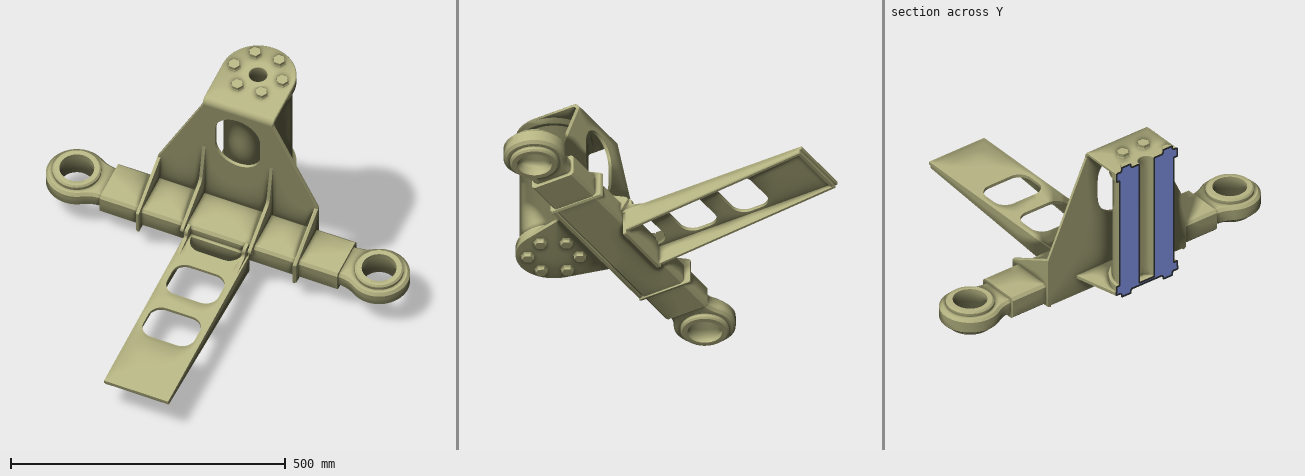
import cadquery as cq
import math


PLATE = 6.35
EDGE_CHAMFER = 1.59

TUBE_LENGTH = 469.9
TUBE_DEPTH = 88.9
TUBE_HEIGHT = 44.45
TUBE_CORNER_CHAMFER = 5.16
OVERALL_WIDTH = 711.66
EYE_DIAMETER = 113.07
EYE_HEIGHT = 31.75
EYE_EDGE_CHAMFER = 5.16
EYE_X = (OVERALL_WIDTH - EYE_DIAMETER) / 2
EYE_BORE = 63.5
BUSHING_DIAMETER = 88.9
BUSHING_HEIGHT = 50.8
BUSHING_EDGE_CHAMFER = 3.17
NECK_WIDTH = 76.2
NECK_SOCKET = 10.0
TUBE_FRONT_Y = -TUBE_DEPTH / 2
TUBE_BACK_Y = TUBE_DEPTH / 2

DRUM_Y = 139.7
DRUM_DIAMETER = 125.77
FLANGE_DIAMETER = 139.74
FLANGE_THICKNESS = 12.7
LOWER_PLATE_Z = 12.7
UPPER_PLATE_TOP_Z = 279.4
LOWER_PLATE_ROOT_WIDTH = 187.3
PIN_BORE = 33.5
PIN_BORE_EDGE_RADIUS = 1.59

BOLT_COUNT = 6
BOLT_CIRCLE_DIAMETER = 95.25
BOLT_FLATS = 19.05
BOLT_HEAD_HEIGHT = 8.57
BOLT_FOOT_FLARE = 1.9
BOLT_FOOT_HEIGHT = 2.8

BACK_WIDTH = 317.5
BACK_BOTTOM_Z = -TUBE_HEIGHT / 2
BACK_SHOULDER_Z = 76.2
BEND_RADIUS = 12.7
WINDOW_WIDTH = 88.9
WINDOW_HEIGHT = 127.0
WINDOW_CENTRE_Z = 188.1

GUSSET_FRONT_Y = -57.15
GUSSET_FRONT_Z = 25.4
GUSSET_CORNER_RADIUS = 3.17
OUTER_GUSSET_BOTTOM_Z = -25.4
OUTER_GUSSET_BEVEL_DEPTH = 4.4
GUSSET_SLOPE = (BACK_SHOULDER_Z - GUSSET_FRONT_Z) / (TUBE_BACK_Y - GUSSET_FRONT_Y)
INNER_GUSSET_X = 63.5
INNER_GUSSET_TOP_Z = 149.2
INNER_GUSSET_KNEE_Y = 28.6
INNER_GUSSET_KNEE_RADIUS = 19.05
INNER_GUSSET_NOSE_Y = -62.5
INNER_GUSSET_NOSE_RADIUS = 6.35
OUTER_GUSSET_X = BACK_WIDTH / 2 - PLATE

ARM_WIDTH = 127.0
ARM_TIP_Y = -425.47
ARM_TOP_Z = PLATE / 2
ARM_BOTTOM_Z = -PLATE / 2
ARM_SIDE_ROOT_Z = -42.0
ARM_SIDE_TIP_Z = -10.0
ARM_SIDE_TIP_SETBACK = 4.0
ROOT_PLATE_BOTTOM_Z = -48.4
ROOT_PLATE_WIDTH = 123.8
ROOT_PLATE_CORNER_RADIUS = 3.17
WINDOWS_IN_ARM = 3
ARM_WINDOW_WIDTH = 101.6
ARM_WINDOW_LENGTH = 73.0
ARM_WINDOW_RADIUS = 25.4
ARM_WINDOW_FIRST_Y = -41.3
ARM_WINDOW_PITCH = 109.5

ARM_GUSSET_X = 53.98
ARM_GUSSET_TOP_Z = 28.6
ARM_GUSSET_NOSE_Y = -61.9
ARM_GUSSET_NOSE_Z = 12.7
ARM_GUSSET_NOSE_RADIUS = 9.5
ARM_GUSSET_FOOT_RADIUS = 6.35
ARM_GUSSET_END_Y = -97.6


def box_between(x_min, x_max, y_min, y_max, z_min, z_max):
    """Box given by its limits on each axis."""
    size = (x_max - x_min, y_max - y_min, z_max - z_min)
    return cq.Workplane("XY").box(*size, centered=False).translate((x_min, y_min, z_min))


def disc(x, y, z, diameter, height):
    """Upright cylinder standing on height z."""
    return cq.Workplane("XY").workplane(offset=z).center(x, y).circle(diameter / 2).extrude(height)


def cross_tube():
    tube = cq.Workplane("XY").box(TUBE_LENGTH, TUBE_DEPTH, TUBE_HEIGHT)
    return tube.edges("|X").chamfer(TUBE_CORNER_CHAMFER)


def end_eye():
    """Eye at the +X end: hub, blended neck and a taller bushing."""
    hub_radius = EYE_DIAMETER / 2
    neck_half = NECK_WIDTH / 2
    blend_x = TUBE_LENGTH / 2
    blend_dx = EYE_X - blend_x
    blend_radius = (blend_dx ** 2 + neck_half ** 2 - hub_radius ** 2) / (2 * (hub_radius - neck_half))
    blend_y = neck_half + blend_radius
    centre_distance = hub_radius + blend_radius
    meet_x = EYE_X - blend_dx * hub_radius / centre_distance
    meet_y = blend_y * hub_radius / centre_distance
    mid_angle = (-math.pi / 2 + math.atan2(-blend_y, blend_dx)) / 2
    mid_x = blend_x + blend_radius * math.cos(mid_angle)
    mid_y = blend_y + blend_radius * math.sin(mid_angle)
    neck_start = blend_x - NECK_SOCKET

    body = (
        cq.Workplane("XY")
        .moveTo(neck_start, -neck_half)
        .lineTo(blend_x, -neck_half)
        .threePointArc((mid_x, -mid_y), (meet_x, -meet_y))
        .threePointArc((EYE_X + hub_radius, 0), (meet_x, meet_y))
        .threePointArc((mid_x, mid_y), (blend_x, neck_half))
        .lineTo(neck_start, neck_half)
        .close()
        .extrude(EYE_HEIGHT / 2, both=True)
        .faces("|Z").edges("not <X").chamfer(EYE_EDGE_CHAMFER)
    )
    bushing = disc(EYE_X, 0, -BUSHING_HEIGHT / 2, BUSHING_DIAMETER, BUSHING_HEIGHT)
    bushing = bushing.edges("%CIRCLE").chamfer(BUSHING_EDGE_CHAMFER)
    bore = disc(EYE_X, 0, -BUSHING_HEIGHT / 2, EYE_BORE, BUSHING_HEIGHT)
    return body.union(bushing).cut(bore)


def back_plate():
    """Tapered plate behind the tube, bent over into the rounded upper plate."""
    back_y = TUBE_BACK_Y + PLATE
    top_half = FLANGE_DIAMETER / 2
    bend_z = UPPER_PLATE_TOP_Z - BEND_RADIUS
    bend_y = TUBE_BACK_Y + BEND_RADIUS
    inner_top_z = UPPER_PLATE_TOP_Z - PLATE
    sheet = (
        cq.Workplane("YZ")
        .moveTo(TUBE_BACK_Y, BACK_BOTTOM_Z)
        .lineTo(TUBE_BACK_Y, bend_z)
        .radiusArc((bend_y, UPPER_PLATE_TOP_Z), BEND_RADIUS)
        .lineTo(DRUM_Y + top_half, UPPER_PLATE_TOP_Z)
        .lineTo(DRUM_Y + top_half, inner_top_z)
        .lineTo(bend_y, inner_top_z)
        .radiusArc((back_y, bend_z), -(BEND_RADIUS - PLATE))
        .lineTo(back_y, BACK_BOTTOM_Z)
        .close()
        .extrude(BACK_WIDTH / 2, both=True)
    )
    front_outline = (
        cq.Workplane("XZ")
        .moveTo(-BACK_WIDTH / 2, BACK_BOTTOM_Z)
        .lineTo(-BACK_WIDTH / 2, BACK_SHOULDER_Z)
        .lineTo(-top_half, bend_z)
        .lineTo(-top_half, UPPER_PLATE_TOP_Z)
        .lineTo(top_half, UPPER_PLATE_TOP_Z)
        .lineTo(top_half, bend_z)
        .lineTo(BACK_WIDTH / 2, BACK_SHOULDER_Z)
        .lineTo(BACK_WIDTH / 2, BACK_BOTTOM_Z)
        .close()
        .extrude(-(DRUM_Y + top_half))
    )
    top_outline = box_between(
        -BACK_WIDTH / 2, BACK_WIDTH / 2, TUBE_BACK_Y, DRUM_Y, BACK_BOTTOM_Z, UPPER_PLATE_TOP_Z
    ).union(disc(0, DRUM_Y, inner_top_z, FLANGE_DIAMETER, PLATE))
    window = (
        cq.Workplane("XZ")
        .center(0, WINDOW_CENTRE_Z)
        .slot2D(WINDOW_HEIGHT, WINDOW_WIDTH, 90)
        .extrude(-(TUBE_BACK_Y + PLATE))
    )
    plate = sheet.intersect(front_outline).intersect(top_outline)
    bend_point = (0, TUBE_BACK_Y, UPPER_PLATE_TOP_Z)
    bend_face = plate.faces(cq.NearestToPointSelector(bend_point))
    outer_edges = plate.faces("<Y or >Z").edges("not |X").add(bend_face.edges("%CIRCLE"))
    return outer_edges.chamfer(EDGE_CHAMFER).cut(window)


def lower_plate():
    """Plate under the drum, its sides tangent to the flange circle."""
    radius = FLANGE_DIAMETER / 2
    root_half = LOWER_PLATE_ROOT_WIDTH / 2
    root_y = TUBE_BACK_Y + PLATE
    reach = DRUM_Y - root_y
    corner_angle = math.atan2(-reach, root_half)
    tangent_angle = corner_angle + math.acos(radius / math.hypot(root_half, reach))
    touch_x = radius * math.cos(tangent_angle)
    touch_y = DRUM_Y + radius * math.sin(tangent_angle)
    return (
        cq.Workplane("XY").workplane(offset=LOWER_PLATE_Z)
        .moveTo(-root_half, root_y)
        .lineTo(root_half, root_y)
        .lineTo(touch_x, touch_y)
        .threePointArc((0, DRUM_Y + radius), (-touch_x, touch_y))
        .close()
        .extrude(PLATE)
    )


def drum():
    bottom_z = LOWER_PLATE_Z + PLATE
    top_z = UPPER_PLATE_TOP_Z - PLATE
    barrel = disc(0, DRUM_Y, bottom_z, DRUM_DIAMETER, top_z - bottom_z)
    for flange_z in (bottom_z, top_z - FLANGE_THICKNESS):
        barrel = barrel.union(disc(0, DRUM_Y, flange_z, FLANGE_DIAMETER, FLANGE_THICKNESS))
    return barrel


def pin_bore():
    """Blind bore down to the lower plate, flared by a rounded mouth."""
    floor_z = LOWER_PLATE_Z + PLATE
    radius = PIN_BORE / 2
    mouth = radius + PIN_BORE_EDGE_RADIUS
    return (
        cq.Workplane("XZ")
        .moveTo(0, floor_z)
        .lineTo(radius, floor_z)
        .lineTo(radius, UPPER_PLATE_TOP_Z - PIN_BORE_EDGE_RADIUS)
        .radiusArc((mouth, UPPER_PLATE_TOP_Z), PIN_BORE_EDGE_RADIUS)
        .lineTo(0, UPPER_PLATE_TOP_Z)
        .close()
        .revolve(360, (0, 0, 0), (0, 1, 0))
        .translate((0, DRUM_Y, 0))
    )


def bolt_heads():
    """Hex heads above the upper plate and below the lower plate."""
    corners = BOLT_FLATS / math.cos(math.pi / 6)
    foot_corners = (BOLT_FLATS + 2 * BOLT_FOOT_FLARE) / math.cos(math.pi / 6)
    head = cq.Workplane("XY").polygon(6, corners).extrude(BOLT_HEAD_HEIGHT)
    foot = (
        cq.Workplane("XY").polygon(6, foot_corners)
        .workplane(offset=BOLT_FOOT_HEIGHT).polygon(6, corners)
        .loft(ruled=True)
    )
    upper = head.union(foot)
    lower = upper.mirror("XY")
    heads = cq.Workplane("XY")
    for index in range(BOLT_COUNT):
        angle = 2 * math.pi * index / BOLT_COUNT
        x = BOLT_CIRCLE_DIAMETER / 2 * math.cos(angle)
        y = DRUM_Y + BOLT_CIRCLE_DIAMETER / 2 * math.sin(angle)
        heads = heads.add(upper.translate((x, y, UPPER_PLATE_TOP_Z)))
        heads = heads.add(lower.translate((x, y, LOWER_PLATE_Z)))
    return heads


def gusset_slope_z(y):
    """Height of the sloping edge shared by the inner and outer gussets."""
    return GUSSET_FRONT_Z + GUSSET_SLOPE * (y - GUSSET_FRONT_Y)


def outer_gussets():
    """Plates at the back plate's edges that wrap right round the tube."""
    back_y = TUBE_BACK_Y + PLATE
    profile = (
        cq.Workplane("YZ")
        .moveTo(back_y, OUTER_GUSSET_BOTTOM_Z)
        .lineTo(back_y, BACK_SHOULDER_Z)
        .lineTo(TUBE_BACK_Y, BACK_SHOULDER_Z)
        .lineTo(GUSSET_FRONT_Y, GUSSET_FRONT_Z)
        .lineTo(GUSSET_FRONT_Y, OUTER_GUSSET_BOTTOM_Z)
        .close()
    )
    core = profile.extrude(PLATE - OUTER_GUSSET_BEVEL_DEPTH)
    core = core.edges("|X and <Y").fillet(GUSSET_CORNER_RADIUS)
    bevel_angle = math.degrees(math.atan(EDGE_CHAMFER / OUTER_GUSSET_BEVEL_DEPTH))
    plate = core.faces(">X").wires().toPending().extrude(OUTER_GUSSET_BEVEL_DEPTH, taper=bevel_angle)
    plate = plate.translate((OUTER_GUSSET_X, 0, 0))
    return plate.union(plate.mirror("YZ"))


def inner_gussets():
    """Taller plates whose rounded nose hooks over the tube's front beside the arm."""
    profile = (
        cq.Workplane("YZ")
        .moveTo(TUBE_BACK_Y, 0)
        .lineTo(TUBE_BACK_Y, INNER_GUSSET_TOP_Z)
        .lineTo(INNER_GUSSET_KNEE_Y, gusset_slope_z(INNER_GUSSET_KNEE_Y))
        .lineTo(INNER_GUSSET_NOSE_Y, gusset_slope_z(INNER_GUSSET_NOSE_Y))
        .lineTo(TUBE_FRONT_Y, 0)
        .close()
    )
    plate = profile.extrude(PLATE)
    nose = plate.edges("|X").edges("<Y")
    plate = nose.fillet(INNER_GUSSET_NOSE_RADIUS)
    knee_point = (0, INNER_GUSSET_KNEE_Y, gusset_slope_z(INNER_GUSSET_KNEE_Y))
    knee = plate.edges("|X").edges(cq.NearestToPointSelector(knee_point))
    plate = knee.fillet(INNER_GUSSET_KNEE_RADIUS)
    plate = plate.translate((INNER_GUSSET_X, 0, 0))
    return plate.union(plate.mirror("YZ"))


def arm():
    """Flat arm on two tapering side walls, closed by a root plate and a tip bar."""
    half = ARM_WIDTH / 2
    root_half = ROOT_PLATE_WIDTH / 2
    wall_inner = half - PLATE
    root_y = TUBE_FRONT_Y - PLATE
    wall_tip_y = ARM_TIP_Y + ARM_SIDE_TIP_SETBACK
    tip_bar_bottom_z = ARM_BOTTOM_Z - PLATE

    deck = box_between(-half, half, ARM_TIP_Y, TUBE_FRONT_Y, ARM_BOTTOM_Z, ARM_TOP_Z)
    for index in range(WINDOWS_IN_ARM):
        window = (
            cq.Workplane("XY")
            .box(ARM_WINDOW_WIDTH, ARM_WINDOW_LENGTH, 2 * PLATE)
            .edges("|Z").fillet(ARM_WINDOW_RADIUS)
            .translate((0, ARM_WINDOW_FIRST_Y - index * ARM_WINDOW_PITCH, 0))
        )
        deck = deck.cut(window)
    wall_profile = (
        cq.Workplane("YZ")
        .moveTo(root_y, ARM_BOTTOM_Z)
        .lineTo(wall_tip_y, ARM_BOTTOM_Z)
        .lineTo(wall_tip_y, ARM_SIDE_TIP_Z)
        .lineTo(root_y, ARM_SIDE_ROOT_Z)
        .close()
    )
    wall = wall_profile.extrude(PLATE).translate((wall_inner, 0, 0))
    wall = wall.faces("<Z").edges(">X").chamfer(EDGE_CHAMFER)
    walls = wall.union(wall.mirror("YZ"))
    root_plate = box_between(
        -root_half, root_half, root_y, TUBE_FRONT_Y, ROOT_PLATE_BOTTOM_Z, ARM_TOP_Z
    )
    root_plate = root_plate.edges("|Y and <Z").fillet(ROOT_PLATE_CORNER_RADIUS)
    tip_bar = box_between(
        -wall_inner, wall_inner, wall_tip_y, wall_tip_y + PLATE, tip_bar_bottom_z, ARM_BOTTOM_Z
    )
    return deck.union(walls).union(root_plate).union(tip_bar)


def arm_gussets():
    """Low plates on the arm that lean against the front of the tube."""
    profile = (
        cq.Workplane("YZ")
        .moveTo(TUBE_FRONT_Y, ARM_TOP_Z)
        .lineTo(TUBE_FRONT_Y, ARM_GUSSET_TOP_Z)
        .lineTo(ARM_GUSSET_NOSE_Y, ARM_GUSSET_TOP_Z)
        .lineTo(ARM_GUSSET_NOSE_Y, ARM_GUSSET_NOSE_Z)
        .lineTo(ARM_GUSSET_END_Y, ARM_TOP_Z)
        .close()
    )
    plate = profile.extrude(PLATE)
    for corner_z, radius in (
        (ARM_GUSSET_TOP_Z, ARM_GUSSET_NOSE_RADIUS),
        (ARM_GUSSET_NOSE_Z, ARM_GUSSET_FOOT_RADIUS),
    ):
        corner_point = (PLATE / 2, ARM_GUSSET_NOSE_Y, corner_z)
        corner = plate.edges("|X").edges(cq.NearestToPointSelector(corner_point))
        plate = corner.fillet(radius)
    plate = plate.translate((ARM_GUSSET_X, 0, 0))
    return plate.union(plate.mirror("YZ"))


eye = end_eye()
result = (
    cross_tube()
    .union(eye)
    .union(eye.mirror("YZ"))
    .union(back_plate())
    .union(lower_plate())
    .union(drum())
    .union(outer_gussets())
    .union(inner_gussets())
    .union(arm())
    .union(arm_gussets())
    .cut(pin_bore())
)
for bolt_head in bolt_heads().vals():
    result = result.union(cq.Workplane(bolt_head))